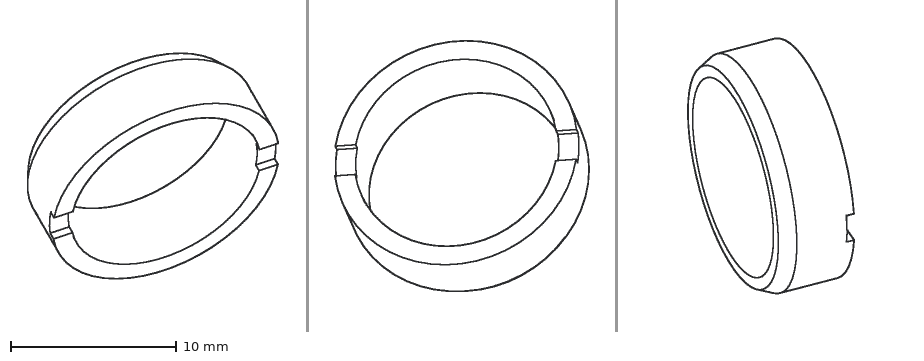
import cadquery as cq

outer_diameter = 14.99
bore_diameter = 12.5
ring_length = 4.8

taper_length = 1.0
taper_depth = 0.5

notch_width = 2.0
notch_depth = 0.5
notch_turn = -0.9

outer_radius = outer_diameter / 2
bore_radius = bore_diameter / 2


def make_ring():
    """Revolve the wall section, drawn as (axial, radial) points, about X."""
    section = (
        cq.Workplane("XY")
        .moveTo(0, bore_radius)
        .lineTo(0, outer_radius - taper_depth)
        .lineTo(taper_length, outer_radius)
        .lineTo(ring_length, outer_radius)
        .lineTo(ring_length, bore_radius)
        .close()
    )
    return section.revolve(360, (0, 0, 0), (1, 0, 0))


def make_notch_cutter():
    """Bar across the full diameter that cuts both notches at once."""
    bar_length = 1.2 * outer_diameter
    bar = cq.Workplane("XY").box(2 * notch_depth, bar_length, notch_width)
    bar = bar.translate((ring_length, 0, 0))
    return bar.rotate((0, 0, 0), (1, 0, 0), notch_turn)


result = make_ring().cut(make_notch_cutter())